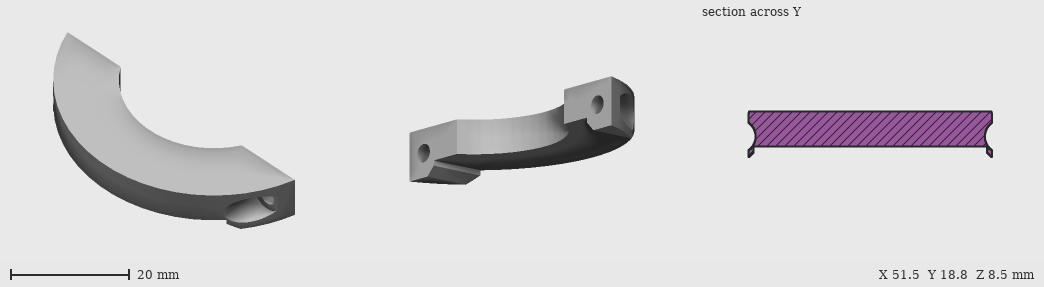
import cadquery as cq
import math

outer_radius = 27.05
inner_radius = 16.0
back_offset = 8.25
total_height = 8.5

foot_height = 2.5
foot_half_gap = 19.6
foot_chamfer = 1.6

hole_x = 22.2
hole_z = total_height / 2
hole_diameter = 3.2
counterbore_diameter = 5.75
counterbore_floor = 3.0

back_y = -back_offset


def ring_segment():
    outer_half_chord = math.sqrt(outer_radius**2 - back_offset**2)
    inner_half_chord = math.sqrt(inner_radius**2 - back_offset**2)
    return (
        cq.Workplane("XY")
        .moveTo(-outer_half_chord, back_y)
        .threePointArc((0, -outer_radius), (outer_half_chord, back_y))
        .lineTo(inner_half_chord, back_y)
        .threePointArc((0, -inner_radius), (-inner_half_chord, back_y))
        .close()
        .extrude(total_height)
    )


def foot_relief():
    """Channel along Y between the feet, widened at the bottom by the foot chamfers."""
    wide_half_gap = foot_half_gap + foot_chamfer
    return (
        cq.Workplane("XZ")
        .polyline([
            (-wide_half_gap, 0),
            (-foot_half_gap, foot_chamfer),
            (-foot_half_gap, foot_height),
            (foot_half_gap, foot_height),
            (foot_half_gap, foot_chamfer),
            (wide_half_gap, 0),
        ])
        .close()
        .extrude(outer_radius)
    )


def cylinder_along_y(x, diameter, start_y):
    """Cylinder from start_y toward -Y, long enough to leave the outer rim."""
    return (
        cq.Workplane("XZ", origin=(x, start_y, hole_z))
        .circle(diameter / 2)
        .extrude(outer_radius)
    )


def screw_hole(x):
    through_hole = cylinder_along_y(x, hole_diameter, back_y)
    counterbore = cylinder_along_y(x, counterbore_diameter, back_y - counterbore_floor)
    return through_hole.union(counterbore)


result = ring_segment().cut(foot_relief())
for side in (-1, 1):
    result = result.cut(screw_hole(side * hole_x))